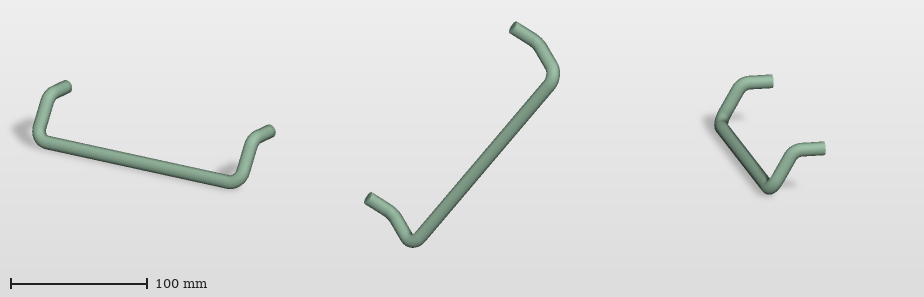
import cadquery as cq
import math

overall_length = 190.0
overall_depth = 45.0
overall_height = 40.0
bar_diameter = 10.0
bend_radius = 10.0
leg_slope = 60.0

bar_radius = bar_diameter / 2
half_span = (overall_length - bar_diameter) / 2
drop = overall_height - bar_diameter
run = drop / math.tan(math.radians(leg_slope))

mount_y = overall_depth - bar_radius


def leg_corners(side):
    """Centreline corners of one leg, from its mounting end to the grip."""
    x = side * half_span
    return [
        cq.Vector(x, mount_y, drop),
        cq.Vector(x, run, drop),
        cq.Vector(x, 0, 0),
    ]


def bend_points(before, corner, after):
    """Start, middle and end of the arc rounding a centreline corner."""
    toward_before = (before - corner).normalized()
    toward_after = (after - corner).normalized()
    half_angle = toward_before.getAngle(toward_after) / 2
    tangent_length = bend_radius / math.tan(half_angle)
    middle_offset = bend_radius / math.sin(half_angle) - bend_radius
    bisector = (toward_before + toward_after).normalized()
    return (
        corner + toward_before * tangent_length,
        corner + bisector * middle_offset,
        corner + toward_after * tangent_length,
    )


def rounded_path(corners):
    """Wire of straight runs joined by tangent bends."""
    edges = []
    position = corners[0]
    for before, corner, after in zip(corners, corners[1:], corners[2:]):
        start, middle, end = bend_points(before, corner, after)
        edges.append(cq.Edge.makeLine(position, start))
        edges.append(cq.Edge.makeThreePointArc(start, middle, end))
        position = end
    edges.append(cq.Edge.makeLine(position, corners[-1]))
    return cq.Wire.assembleEdges(edges)


corners = leg_corners(-1) + leg_corners(1)[::-1]
mounting_face = cq.Plane(origin=corners[0].toTuple(), xDir=(1, 0, 0), normal=(0, -1, 0))

result = cq.Workplane(mounting_face).circle(bar_radius).sweep(rounded_path(corners))